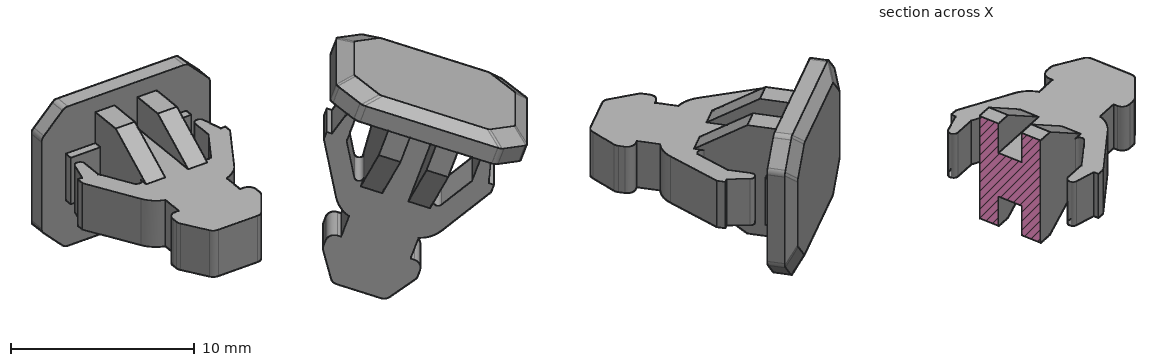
import cadquery as cq
import math

length = 12.5
plate_width = 11.0
plate_height = 9.0
plate_thickness = 1.5

bevel_depth = 0.5
bevel_inset = bevel_depth * math.tan(math.radians(60))
corner_cut = 1.5
corner_radius = 0.5

body_thickness = 3.0
spine_half_width = 2.0
pad_width = 7.88
pad_depth = 0.5

rib_width = 1.25
rib_height = 7.0
rib_flat_end = 3.5
rib_end = 6.5

head_start = 9.71
head_half_width = 2.72
head_taper_start = 10.71
head_tip_half_width = 1.55
head_radius = 0.5

arm_angle = math.radians(30)
arm_root_x = 8.4
arm_bend_x = 7.56
shoulder_end_x = 4.49
shoulder_x = 4.01
shoulder_y = 4.82
shoulder_step = 0.3
finger_end_x = 2.59
finger_inner_y = 3.61
finger_inner_x = 4.19
finger_angle = math.radians(15)
finger_radius = 0.29
slot_radius = 0.28
slot_corner_x = finger_inner_x + (finger_inner_y - spine_half_width) / math.tan(arm_angle)


def extrude_body(outline):
    """Extrude an XY outline symmetrically about the middle plane."""
    return outline.extrude(body_thickness / 2, both=True)


def cut_corner_rectangle(plane, width, height):
    """Rectangle with its four corners cut at 45 degrees."""
    y, z = width / 2, height / 2
    c = corner_cut
    return plane.polyline([
        (y, z - c), (y - c, z), (c - y, z), (-y, z - c),
        (-y, c - z), (c - y, -z), (y - c, -z), (y, c - z),
    ]).close()


def make_plate():
    """Octagonal plate with a bevelled outer face and softened corners."""
    rim = cut_corner_rectangle(cq.Workplane("YZ", origin=(bevel_depth, 0, 0)), plate_width, plate_height)
    rim = rim.extrude(plate_thickness - bevel_depth)
    face = cut_corner_rectangle(
        cq.Workplane("YZ"), plate_width - 2 * bevel_inset, plate_height - 2 * bevel_inset
    )
    bevel = cut_corner_rectangle(face.workplane(offset=bevel_depth), plate_width, plate_height)
    bevel = bevel.loft(ruled=True, combine=True)
    rim = rim.edges("|X").fillet(corner_radius)
    bevel = bevel.edges("not #X").fillet(corner_radius)
    return rim.union(bevel)


def make_spine():
    spine = cq.Workplane("XY").moveTo((plate_thickness + head_start) / 2, 0)
    return extrude_body(spine.rect(head_start - plate_thickness, 2 * spine_half_width))


def make_head():
    """Arrow-shaped head with all its corners rounded."""
    head = extrude_body(cq.Workplane("XY").polyline([
        (head_start, -head_half_width),
        (head_taper_start, -head_half_width),
        (length, -head_tip_half_width),
        (length, head_tip_half_width),
        (head_taper_start, head_half_width),
        (head_start, head_half_width),
    ]).close())
    return head.edges("|Z").fillet(head_radius)


def make_arm():
    """Spring arm on the +Y side, swept back towards the plate."""
    bend_y = shoulder_y - (arm_bend_x - shoulder_end_x) * math.tan(arm_angle)
    finger_outer_y = shoulder_y - shoulder_step - (shoulder_x - finger_end_x) * math.tan(finger_angle)
    arm = extrude_body(
        cq.Workplane("XY")
        .moveTo(slot_corner_x, spine_half_width)
        .lineTo(finger_inner_x, finger_inner_y)
        .lineTo(finger_end_x, finger_inner_y)
        .lineTo(finger_end_x, finger_outer_y)
        .lineTo(shoulder_x, shoulder_y - shoulder_step)
        .lineTo(shoulder_x, shoulder_y)
        .lineTo(shoulder_end_x, shoulder_y)
        .lineTo(arm_bend_x, bend_y)
        .tangentArcPoint((arm_root_x, spine_half_width), relative=False)
        .close()
    )
    return arm.edges("|Z and <X").fillet(finger_radius)


def make_slot_fill():
    """Web that rounds the narrow end of the slot between arm and spine."""
    tangent_length = slot_radius / math.tan(arm_angle / 2)
    spine_tangent = (slot_corner_x - tangent_length, spine_half_width)
    arm_tangent = (
        slot_corner_x - tangent_length * math.cos(arm_angle),
        spine_half_width + tangent_length * math.sin(arm_angle),
    )
    slot_end = (spine_tangent[0] + slot_radius * math.cos(arm_angle / 2),
                spine_half_width + slot_radius * (1 + math.sin(arm_angle / 2)))
    return extrude_body(
        cq.Workplane("XY")
        .moveTo(slot_corner_x, spine_half_width)
        .lineTo(*spine_tangent)
        .threePointArc(slot_end, arm_tangent)
        .close()
    )


def make_rib():
    """Tapered rib along the +Y edge of the spine."""
    z = rib_height / 2
    body_z = body_thickness / 2
    return (
        cq.Workplane("XZ", origin=(0, spine_half_width, 0))
        .polyline([
            (plate_thickness, -z), (rib_flat_end, -z), (rib_end, -body_z),
            (rib_end, body_z), (rib_flat_end, z), (plate_thickness, z),
        ])
        .close()
        .extrude(rib_width)
    )


def make_pad():
    """Low stop pad on the back of the plate."""
    pad = cq.Workplane("XY").moveTo(plate_thickness + pad_depth / 2, 0)
    return extrude_body(pad.rect(pad_depth, pad_width))


result = make_plate().union(make_pad()).union(make_spine()).union(make_head())
for side_feature in (make_arm(), make_slot_fill(), make_rib()):
    result = result.union(side_feature).union(side_feature.mirror("XZ"))